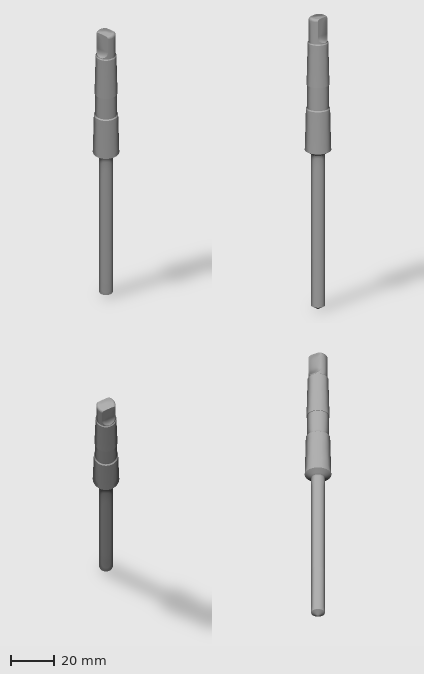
import cadquery as cq

TOTAL_LENGTH = 144.0
CUTTING_TOP = 25.3
NECK_TOP = 76.5
TAPER_BOTTOM = 78.3
LOWER_TAPER_TOP = 98.8
UPPER_TAPER_BOTTOM = 110.6
TAPER_TOP = 131.2
TANG_FLAT_BOTTOM = 135.2

ROD_RADIUS = 6.3 / 2
POINT_HEIGHT = 1.9

TAPER_BOTTOM_RADIUS = 12.2 / 2
TAPER_SLOPE = 0.025
WAIST_RADIUS = 10.1 / 2
TAPER_CHAMFER = 0.5

TANG_RADIUS = 8.8 / 2
TANG_CONE_HEIGHT = 0.22
TANG_THICKNESS = 5.6
TANG_END_ROUND = 1.2
TANG_RUNOUT_RADIUS = 4.2


def taper_radius(height):
    """Radius of the shank cone at a given height."""
    return TAPER_BOTTOM_RADIUS - TAPER_SLOPE * (height - TAPER_BOTTOM)


def make_cutting_part():
    """Drill end: a straight cylinder with a conical point at the origin."""
    profile = (
        cq.Workplane("XZ")
        .moveTo(0, 0)
        .lineTo(ROD_RADIUS, POINT_HEIGHT)
        .lineTo(ROD_RADIUS, CUTTING_TOP)
        .lineTo(0, CUTTING_TOP)
        .close()
    )
    return profile.revolve(360, (0, 0, 0), (0, 1, 0))


def make_neck():
    """Straight rod between the cutting part and the tapered shank."""
    return (
        cq.Workplane("XY")
        .workplane(offset=CUTTING_TOP)
        .circle(ROD_RADIUS)
        .extrude(NECK_TOP - CUTTING_TOP)
    )


def make_taper():
    """Tapered shank with its lower cone, straight waist and chamfered ends."""
    profile = (
        cq.Workplane("XZ")
        .moveTo(0, NECK_TOP)
        .lineTo(ROD_RADIUS, NECK_TOP)
        .lineTo(TAPER_BOTTOM_RADIUS, TAPER_BOTTOM)
        .lineTo(taper_radius(LOWER_TAPER_TOP), LOWER_TAPER_TOP)
        .lineTo(WAIST_RADIUS, LOWER_TAPER_TOP + TAPER_CHAMFER)
        .lineTo(WAIST_RADIUS, UPPER_TAPER_BOTTOM)
        .lineTo(taper_radius(UPPER_TAPER_BOTTOM), UPPER_TAPER_BOTTOM)
        .lineTo(taper_radius(TAPER_TOP), TAPER_TOP)
        .lineTo(TANG_RADIUS, TAPER_TOP + TAPER_CHAMFER)
        .lineTo(0, TAPER_TOP + TAPER_CHAMFER)
        .close()
    )
    return profile.revolve(360, (0, 0, 0), (0, 1, 0))


def make_tang_side_cutter():
    """Cutter for the -Y flat of the tang, curving outward at its lower end."""
    flat = -TANG_THICKNESS / 2
    runout_center_y = flat - TANG_RUNOUT_RADIUS
    diagonal = TANG_RUNOUT_RADIUS * 0.5 ** 0.5
    return (
        cq.Workplane("YZ")
        .moveTo(flat, TOTAL_LENGTH)
        .lineTo(flat, TANG_FLAT_BOTTOM)
        .threePointArc(
            (runout_center_y + diagonal, TANG_FLAT_BOTTOM - diagonal),
            (runout_center_y, TANG_FLAT_BOTTOM - TANG_RUNOUT_RADIUS),
        )
        .lineTo(runout_center_y, TOTAL_LENGTH)
        .close()
        .extrude(TAPER_BOTTOM_RADIUS, both=True)
    )


def make_tang():
    """Round tang with a shallow conical, rounded end and two opposite flats."""
    rim_height = TOTAL_LENGTH - TANG_CONE_HEIGHT
    profile = (
        cq.Workplane("XZ")
        .moveTo(0, TAPER_TOP)
        .lineTo(TANG_RADIUS, TAPER_TOP)
        .lineTo(TANG_RADIUS, rim_height)
        .lineTo(0, TOTAL_LENGTH)
        .close()
    )
    tang = profile.revolve(360, (0, 0, 0), (0, 1, 0))
    tang = tang.edges("%CIRCLE").edges(">Z").fillet(TANG_END_ROUND)
    cutter = make_tang_side_cutter()
    return tang.cut(cutter).cut(cutter.mirror("XZ"))


def make_shank():
    """Neck above the cutting part, tapered shank and tang as one body."""
    return make_neck().union(make_taper()).union(make_tang())


cutting_part = make_cutting_part()
shank = make_shank()

result = cq.Compound.makeCompound([cutting_part.val(), shank.val()])